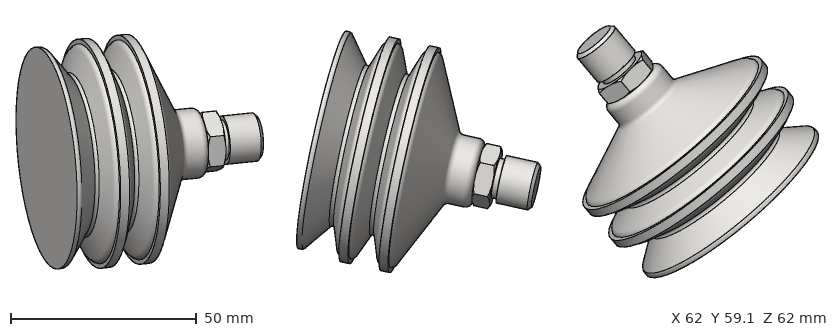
import cadquery as cq
import math


FLANGE_R = 31.0
SHOULDER_R = 29.75
CONE_R = 28.4
SHOULDER_LENGTH = 1.3
SHOULDER_BULGE = 0.22
VALLEY_R = 22.3
VALLEY_WIDTH = 1.2
VALLEY_DEPTH = 0.2
FLANGE_WIDTH = 2.5
FOLD_PITCH = 11.1
LOWER_VALLEY_Y = 7.2
LOWER_FLANGE_Y = 11.9
FOLD_COUNT = 2

LIP_R = 60.0 / 2
LIP_TOP_R = 29.75
LIP_STRAIGHT = 0.75
LIP_HEIGHT = 1.4
LIP_BULGE = 0.05

COLLAR_R = 19.0 / 2
COLLAR_BASE_R = 10.2
COLLAR_BASE_Y = 35.65
COLLAR_STRAIGHT_Y = 37.0
COLLAR_BASE_HOLLOW = 0.2
COLLAR_TOP_Y = 43.1
COLLAR_ROUND = 1.85

HEX_FLATS = 15.0
HEX_TOP_Y = 48.0
HEX_CHAMFER_HEIGHT = 0.55
HEX_CHAMFER_RADIAL = 1.05
NECK_R = 11.0 / 2
NECK_TOP_Y = 49.55
STUD_R = 13.15 / 2
STUD_CHAMFER = 0.9
TOTAL_LENGTH = 59.1


def add_fold(outline, valley_y, flange_y):
    """Continue the outline through one valley and the flange above it."""
    flange_end = flange_y + FLANGE_WIDTH
    return (
        outline.lineTo(VALLEY_R, valley_y)
        .sagittaArc((VALLEY_R, valley_y + VALLEY_WIDTH), VALLEY_DEPTH)
        .lineTo(CONE_R, flange_y - SHOULDER_LENGTH)
        .sagittaArc((SHOULDER_R, flange_y), -SHOULDER_BULGE)
        .lineTo(FLANGE_R, flange_y)
        .lineTo(FLANGE_R, flange_end)
        .lineTo(SHOULDER_R, flange_end)
        .sagittaArc((CONE_R, flange_end + SHOULDER_LENGTH), -SHOULDER_BULGE)
    )


def make_suction_cup():
    """Lip, folds and collar as one solid of revolution."""
    outline = (
        cq.Workplane("XY")
        .lineTo(LIP_R, 0)
        .lineTo(LIP_R, LIP_STRAIGHT)
        .sagittaArc((LIP_TOP_R, LIP_HEIGHT), -LIP_BULGE)
    )
    for fold in range(FOLD_COUNT):
        shift = fold * FOLD_PITCH
        outline = add_fold(outline, LOWER_VALLEY_Y + shift, LOWER_FLANGE_Y + shift)
    outline = (
        outline.lineTo(COLLAR_BASE_R, COLLAR_BASE_Y)
        .sagittaArc((COLLAR_R, COLLAR_STRAIGHT_Y), COLLAR_BASE_HOLLOW)
        .lineTo(COLLAR_R, COLLAR_TOP_Y - COLLAR_ROUND)
        .tangentArcPoint((COLLAR_R - COLLAR_ROUND, COLLAR_TOP_Y), relative=False)
        .lineTo(0, COLLAR_TOP_Y)
        .close()
    )
    return outline.revolve(360, (0, 0), (0, 1))


def make_hexagon():
    """Hexagon with corners along Z and conical chamfers at both ends."""
    corner_r = HEX_FLATS / 2 / math.cos(math.pi / 6)
    face_r = corner_r - HEX_CHAMFER_RADIAL
    height = HEX_TOP_Y - COLLAR_TOP_Y
    prism = (
        cq.Workplane("XZ", origin=(0, COLLAR_TOP_Y, 0))
        .transformed(rotate=(0, 0, 90))
        .polygon(6, 2 * corner_r)
        .extrude(-height)
    )
    envelope = (
        cq.Workplane("XY")
        .moveTo(0, COLLAR_TOP_Y)
        .lineTo(face_r, COLLAR_TOP_Y)
        .lineTo(corner_r, COLLAR_TOP_Y + HEX_CHAMFER_HEIGHT)
        .lineTo(corner_r, HEX_TOP_Y - HEX_CHAMFER_HEIGHT)
        .lineTo(face_r, HEX_TOP_Y)
        .lineTo(0, HEX_TOP_Y)
        .close()
        .revolve(360, (0, 0), (0, 1))
    )
    return prism.intersect(envelope)


def make_stud():
    """Undercut neck and plain stud with a chamfered end."""
    return (
        cq.Workplane("XY")
        .moveTo(0, HEX_TOP_Y)
        .lineTo(NECK_R, HEX_TOP_Y)
        .lineTo(NECK_R, NECK_TOP_Y)
        .lineTo(STUD_R, NECK_TOP_Y)
        .lineTo(STUD_R, TOTAL_LENGTH - STUD_CHAMFER)
        .lineTo(STUD_R - STUD_CHAMFER, TOTAL_LENGTH)
        .lineTo(0, TOTAL_LENGTH)
        .close()
        .revolve(360, (0, 0), (0, 1))
    )


result = make_suction_cup().union(make_hexagon()).union(make_stud())